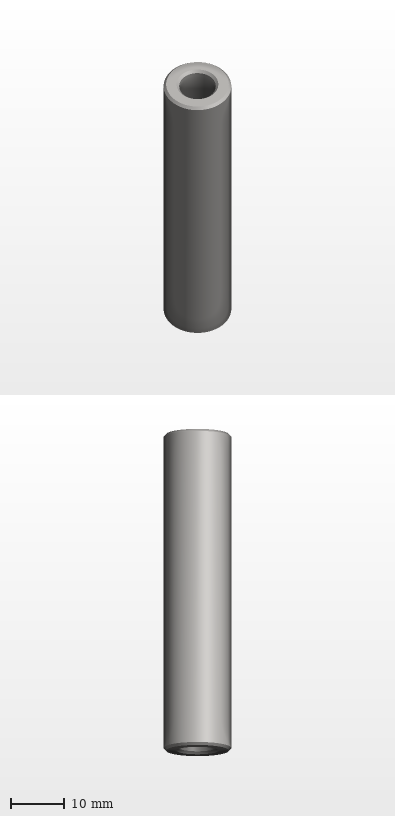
import cadquery as cq

length = 60.3
outer_diameter = 12.7
bore_diameter = 6.9
edge_chamfer = 0.5

tube = (
    cq.Workplane("XY")
    .circle(outer_diameter / 2)
    .circle(bore_diameter / 2)
    .extrude(length)
)

result = tube.faces("<Z or >Z").edges().chamfer(edge_chamfer)